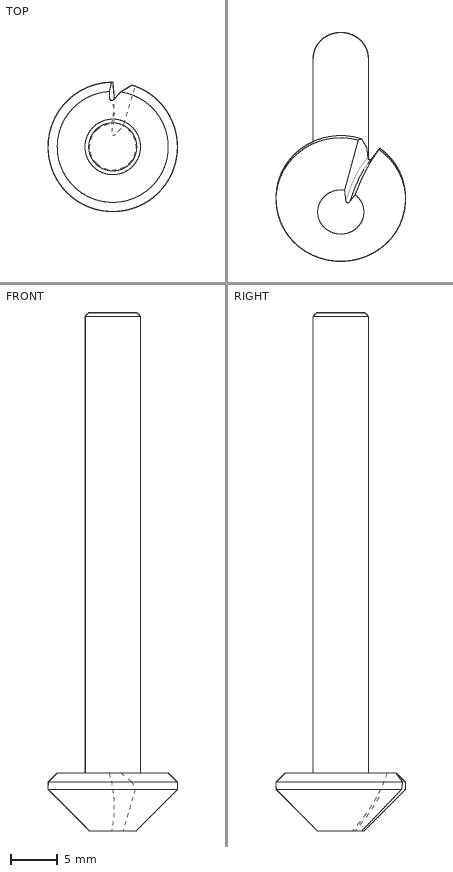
import cadquery as cq
import math

total_height = 56.0
head_diameter = 14.0
shank_diameter = 6.0

head_radius = head_diameter / 2
tip_radius = 2.5
cone_height = head_radius - tip_radius
rim_height = 0.8
rim_chamfer = 1.0
head_height = cone_height + rim_height + rim_chamfer

shank_length = total_height - head_height
shank_chamfer = 0.4

face_end_x = -0.1
face_bulge_x = 0.16
face_bulge_z = 2.9
face_top_x = -0.37
relief_tip_y = 1.0
relief_top_y = 5.0
root_radius = 0.25
relief_angle = 48.0
flute_reach = 2 * head_radius


def make_head():
    outline = (
        cq.Workplane("XZ")
        .lineTo(tip_radius, 0)
        .lineTo(head_radius, cone_height)
        .lineTo(head_radius, cone_height + rim_height)
        .lineTo(head_radius - rim_chamfer, head_height)
        .lineTo(0, head_height)
        .close()
    )
    blank = outline.revolve(360, (0, 0, 0), (0, 1, 0))
    return blank.cut(make_flute_cutter())


def make_flute_cutter():
    face_side = (
        cq.Workplane("XZ")
        .moveTo(face_end_x, 0)
        .threePointArc((face_bulge_x, face_bulge_z), (face_top_x, head_height))
        .lineTo(flute_reach, head_height)
        .lineTo(flute_reach, 0)
        .close()
        .extrude(-flute_reach)
    )
    bottom = relief_section(0, relief_tip_y)
    top = relief_section(head_height, relief_top_y)
    relief_side = cq.Solid.makeLoft([bottom, top], True)
    cutter = face_side.intersect(cq.Workplane(relief_side))
    root_point = (0, (relief_tip_y + relief_top_y) / 2, head_height / 2)
    return cutter.edges(cq.selectors.NearestToPointSelector(root_point)).fillet(root_radius)


def relief_section(z, wall_y):
    rise = math.tan(math.radians(relief_angle))
    half = head_radius
    return (
        cq.Workplane("XY", origin=(0, wall_y, z))
        .moveTo(-half, -half * rise)
        .lineTo(half, half * rise)
        .lineTo(half, flute_reach)
        .lineTo(-half, flute_reach)
        .close()
        .val()
    )


def make_shank():
    return (
        cq.Workplane("XY", origin=(0, 0, head_height))
        .circle(shank_diameter / 2)
        .extrude(shank_length)
        .faces(">Z")
        .chamfer(shank_chamfer)
    )


head = make_head()
shank = make_shank()
result = cq.Compound.makeCompound([head.val(), shank.val()])